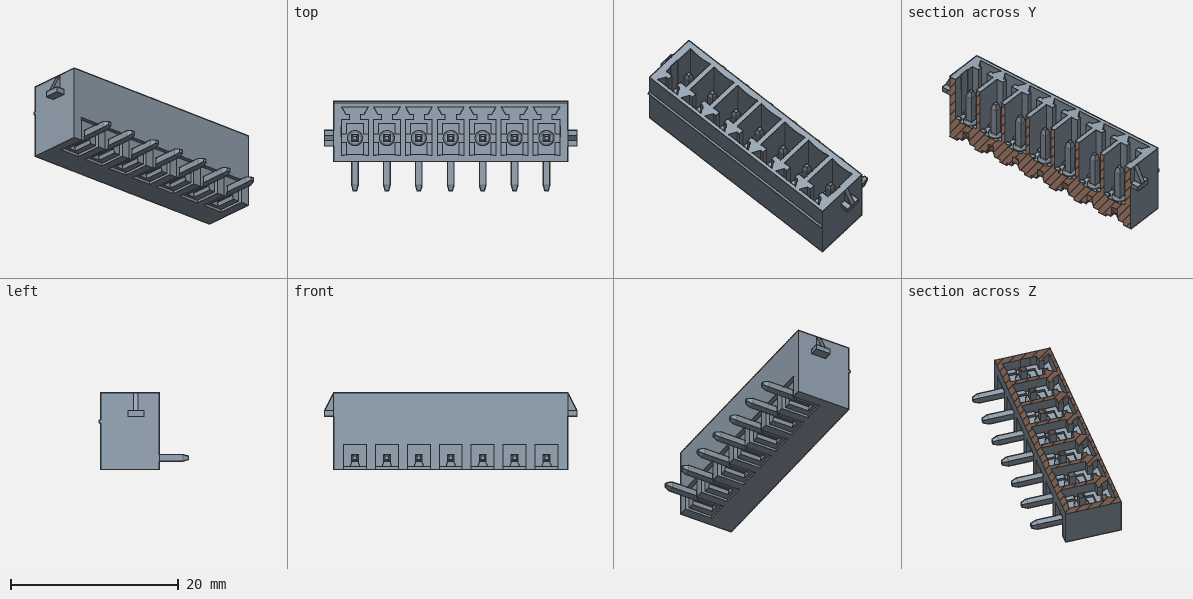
import cadquery as cq


TOTAL_LENGTH = 30.15
EAR_REACH = 1.12
LENGTH = TOTAL_LENGTH - 2 * EAR_REACH
DEPTH = 7.0
HEIGHT = 9.2

PIN_COUNT = 7
ROW_SPAN = 22.85
PITCH = ROW_SPAN / (PIN_COUNT - 1)
PIN_Y = 2.8
PIN_CENTERS = [(i - (PIN_COUNT - 1) / 2) * PITCH for i in range(PIN_COUNT)]

PIN_SIDE = 0.8
PIN_BOTTOM = 1.0
PIN_TOP = 7.65
PIN_REACH = 3.5
TIP_LENGTH = 0.7
TIP_SIDE = 0.42
PIN_REAR = PIN_Y + PIN_SIDE / 2

CAVITY_WIDTH = 3.2
CAVITY_FLOOR = 3.32
FRONT_WALL = 0.72
FRONT_BULGE = 0.15
MAIN_REAR = 5.0
NECK_WIDTH = 1.33
NECK_REAR = 5.65
KEY_FRONT_WIDTH = 2.17
KEY_REAR = 6.55

HOLLOW_DEPTH = 0.3
HOLLOW_WIDTH = 2.0
HOLLOW_REAR = 4.55
HOLLOW_ARM = 1.0
COLLAR_DIAMETER = 1.8
COLLAR_HEIGHT = 0.3
COLLAR_ROUND = 0.18

RELIEF_FRONT = 3.0
RELIEF_WIDTH = 1.2
RELIEF_DEPTH = 0.1

WINDOW_WIDTH = 2.75
WINDOW_HEIGHT = 3.02
WINDOW_DEPTH = 0.5
POCKET_HEIGHT = 0.35
POCKET_DEPTH = 3.62
SLOT_MOUTH_WIDTH = 1.18
SLOT_FLARE_TOP = 0.85

EAR_WIDTH = 1.9
EAR_BOTTOM = 6.35
EAR_TOP = 7.03
RIB_WIDTH = 0.57

RIDGE_RADIUS = 0.2
RIDGE_Z = 5.73


def block(x_range, y_range, z_range):
    """Box between the given limits along each axis."""
    size = [high - low for low, high in (x_range, y_range, z_range)]
    corner = (x_range[0], y_range[0], z_range[0])
    return cq.Workplane("XY").box(*size, centered=False).translate(corner)


def centered_block(x, width, y_range, z_range):
    """Box of the given width whose middle lies at x."""
    return block((x - width / 2, x + width / 2), y_range, z_range)


def make_cavity_outline(x):
    """Outline of the socket: a main bay, a neck and a dovetail keyway at the rear."""
    half = CAVITY_WIDTH / 2
    half_neck = NECK_WIDTH / 2
    half_key = KEY_FRONT_WIDTH / 2
    return (
        cq.Workplane("XY", origin=(x, 0, 0))
        .moveTo(-half, FRONT_WALL)
        .threePointArc((0, FRONT_WALL + FRONT_BULGE), (half, FRONT_WALL))
        .lineTo(half, MAIN_REAR)
        .lineTo(half_neck, MAIN_REAR)
        .lineTo(half_neck, NECK_REAR)
        .lineTo(half_key, NECK_REAR)
        .lineTo(half, KEY_REAR)
        .lineTo(-half, KEY_REAR)
        .lineTo(-half_key, NECK_REAR)
        .lineTo(-half_neck, NECK_REAR)
        .lineTo(-half_neck, MAIN_REAR)
        .lineTo(-half, MAIN_REAR)
        .close()
    )


def make_cavity(x):
    """Socket space about the pin at x, down to its hollowed floor and less the collar."""
    hollow_bottom = CAVITY_FLOOR - HOLLOW_DEPTH
    full_outline = make_cavity_outline(x).extrude(HEIGHT).translate((0, 0, hollow_bottom))

    hollow_z = (hollow_bottom, CAVITY_FLOOR)
    arm_y = (PIN_Y - HOLLOW_ARM / 2, PIN_Y + HOLLOW_ARM / 2)
    hollow = centered_block(x, HOLLOW_WIDTH, (0, HOLLOW_REAR), hollow_z)
    hollow = hollow.union(centered_block(x, CAVITY_WIDTH, arm_y, hollow_z))

    above_floor = centered_block(x, CAVITY_WIDTH, (0, DEPTH), (CAVITY_FLOOR, HEIGHT))
    collar = (
        cq.Workplane("XY", origin=(x, PIN_Y, hollow_bottom))
        .circle(COLLAR_DIAMETER / 2)
        .extrude(COLLAR_HEIGHT)
        .faces(">Z")
        .edges()
        .fillet(COLLAR_ROUND)
    )
    return full_outline.intersect(above_floor.union(hollow)).cut(collar)


def make_window(x):
    """Front window at x, the shallow pocket in the underside and the slot for the pin."""
    window = centered_block(x, WINDOW_WIDTH, (0, WINDOW_DEPTH), (0, WINDOW_HEIGHT))
    pocket = centered_block(x, WINDOW_WIDTH, (0, POCKET_DEPTH), (0, POCKET_HEIGHT))
    half_pin = PIN_SIDE / 2
    half_mouth = SLOT_MOUTH_WIDTH / 2
    slot = (
        cq.Workplane("XZ", origin=(x, 0, 0))
        .moveTo(-half_mouth, POCKET_HEIGHT)
        .lineTo(half_mouth, POCKET_HEIGHT)
        .lineTo(half_pin, SLOT_FLARE_TOP)
        .lineTo(half_pin, PIN_BOTTOM)
        .lineTo(-half_pin, PIN_BOTTOM)
        .lineTo(-half_pin, SLOT_FLARE_TOP)
        .close()
        .extrude(-PIN_REAR)
    )
    return window.union(pocket).union(slot)


def make_end_relief():
    """Relief in the outer wall of the last cavity, fading out at the cavity floor."""
    wall_x = PIN_CENTERS[-1] + CAVITY_WIDTH / 2
    return (
        cq.Workplane("XZ", origin=(0, RELIEF_FRONT, 0))
        .moveTo(wall_x, CAVITY_FLOOR)
        .lineTo(wall_x + RELIEF_DEPTH, HEIGHT)
        .lineTo(wall_x, HEIGHT)
        .close()
        .extrude(-RELIEF_WIDTH)
    )


def make_ear():
    """Ear on the +X end together with its rib."""
    end_x = LENGTH / 2
    tip_x = TOTAL_LENGTH / 2
    ear_y = (PIN_Y - EAR_WIDTH / 2, PIN_Y + EAR_WIDTH / 2)
    ear = block((end_x, tip_x), ear_y, (EAR_BOTTOM, EAR_TOP))
    rib = (
        cq.Workplane("XZ", origin=(0, PIN_Y - RIB_WIDTH / 2, 0))
        .moveTo(end_x, EAR_TOP)
        .lineTo(tip_x, EAR_TOP)
        .lineTo(end_x, HEIGHT)
        .close()
        .extrude(-RIB_WIDTH)
    )
    return ear.union(rib)


def make_ridge():
    """Half-round ridge along the rear face, as a full rod half sunk in the wall."""
    return (
        cq.Workplane("YZ", origin=(-LENGTH / 2, 0, 0))
        .center(DEPTH, RIDGE_Z)
        .circle(RIDGE_RADIUS)
        .extrude(LENGTH)
    )


def make_tip():
    """Tapered pin end that starts at the origin and points up along Z."""
    return (
        cq.Workplane("XY")
        .rect(PIN_SIDE, PIN_SIDE)
        .workplane(offset=TIP_LENGTH)
        .rect(TIP_SIDE, TIP_SIDE)
        .loft(ruled=True)
    )


def make_pin(x):
    """Bent pin at x: one leg stands in the cavity, the other leaves through the front."""
    front_shoulder = TIP_LENGTH - PIN_REACH
    top_shoulder = PIN_TOP - TIP_LENGTH
    leg_top = PIN_BOTTOM + PIN_SIDE
    leg = centered_block(0, PIN_SIDE, (front_shoulder, PIN_REAR), (PIN_BOTTOM, leg_top))
    post = centered_block(0, PIN_SIDE, (PIN_REAR - PIN_SIDE, PIN_REAR), (PIN_BOTTOM, top_shoulder))
    top_tip = make_tip().translate((0, PIN_Y, top_shoulder))
    front_tip = (
        make_tip()
        .rotate((0, 0, 0), (1, 0, 0), 90)
        .translate((0, front_shoulder, PIN_BOTTOM + PIN_SIDE / 2))
    )
    return leg.union(post).union(top_tip).union(front_tip).translate((x, 0, 0))


def make_housing(pins):
    """Housing with a cavity and a window for each pin, and channels that fit the pins."""
    housing = centered_block(0, LENGTH, (0, DEPTH), (0, HEIGHT)).union(make_ridge())
    for x in PIN_CENTERS:
        housing = housing.cut(make_cavity(x)).cut(make_window(x))
    ear = make_ear()
    relief = make_end_relief()
    housing = housing.union(ear).union(ear.mirror("YZ"))
    housing = housing.cut(relief).cut(relief.mirror("YZ"))
    for pin in pins:
        housing = housing.cut(pin)
    return housing


pins = [make_pin(x) for x in PIN_CENTERS]
housing = make_housing(pins)

result = cq.Compound.makeCompound([
    housing.solids().val(),
    *[pin.solids().val() for pin in pins],
])